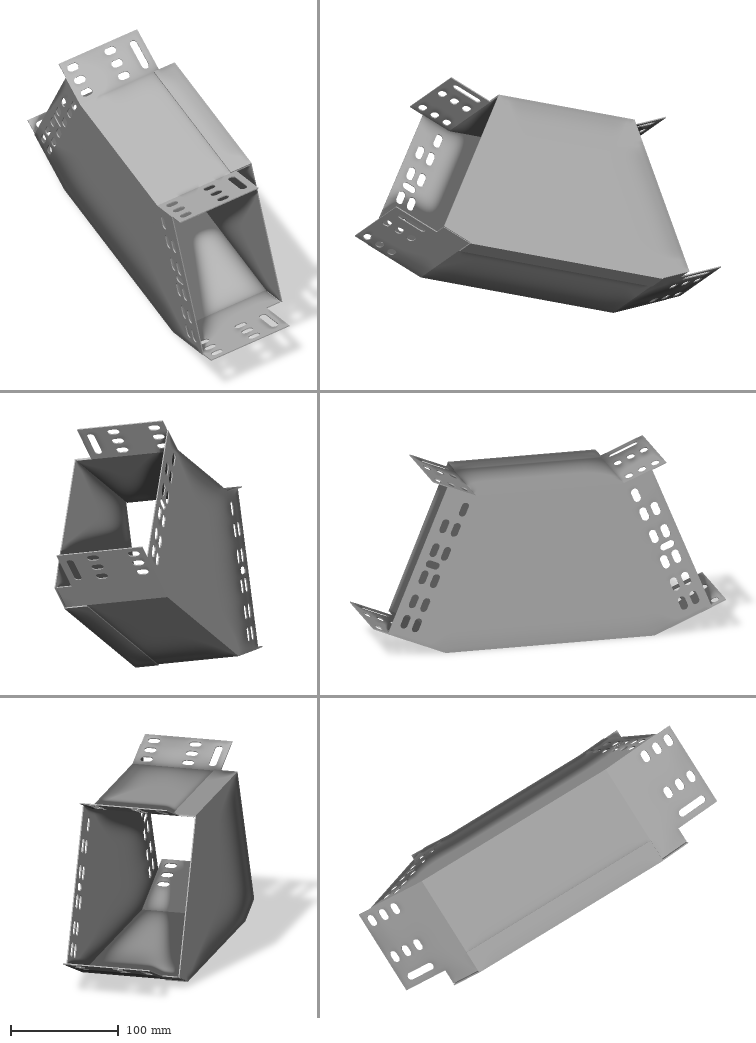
import cadquery as cq
import math


LENGTH = 340.0
DEPTH = 101.5
SHEET = 1.0
BEND_ANGLE = 22.5
TRAY_HEIGHT = 151.5
LOWER_FLANGE = 75.0
UPPER_FLANGE = 44.2
CONNECTOR_LENGTH = 15.0
CONNECTOR_DEPTH = 85.0
CONNECTOR_INSET = 0.7
LID_GAP = 1.0
LID_OVER_FLANGE = 30.0
STEP_FROM_BEND = 29.2
LIP_DEPTH = 22.5

SLOT_WIDTH = 7.0
FLANGE_SLOT_LENGTH = 11.5
FLANGE_SLOT_FROM_TIP = 8.5
FLANGE_SLOT_PITCH = 13.5
FLANGE_SLOT_COUNT = 3
FLANGE_SLOT_ROWS = (11.5, 51.5)
LONG_SLOT_LENGTH = 30.0
LONG_SLOT_FROM_TIP = 23.0
LONG_SLOT_FROM_FRONT = 75.0
PLATE_SLOT_LENGTH = 14.0
OUTER_ROW = 26.5
INNER_ROW = 38.5
CROSS_SLOT_ROW = 30.3
PLATE_SLOT_OFFSETS = (14.0, 38.5, 59.0)

COS = math.cos(math.radians(BEND_ANGLE))
SIN = math.sin(math.radians(BEND_ANGLE))
HALF_LENGTH = LENGTH / 2
FRONT_Y = -DEPTH / 2
LID_Y = DEPTH / 2 - SHEET
WALL_DEPTH = DEPTH - SHEET - LID_GAP
LOWER_Z = 0.0
UPPER_Z = TRAY_HEIGHT
LOWER_BEND_X = HALF_LENGTH - LOWER_FLANGE * COS
LOWER_TIP_Z = LOWER_FLANGE * SIN
UPPER_TIP_Z = UPPER_Z + UPPER_FLANGE * SIN
UPPER_TIP_X = HALF_LENGTH - (UPPER_TIP_Z - LOWER_TIP_Z) * SIN / COS
UPPER_BEND_X = UPPER_TIP_X - UPPER_FLANGE * COS
EDGE_MIDDLE = (UPPER_TIP_Z - LOWER_TIP_Z) / COS / 2
BEND_SETBACK = SHEET * math.tan(math.radians(BEND_ANGLE / 2))


def along_slope(bend_x, bend_z, distance):
    """Point on the outside of the right-hand flange, at a distance from its bend."""
    return (bend_x + distance * COS, bend_z + distance * SIN)


def mirrored(right_points):
    """Closed outline: points of the right half, then their mirror images in reverse."""
    return right_points + [(-x, z) for x, z in reversed(right_points)]


def extruded(points, start_y, depth):
    """Solid with an XZ outline, from start_y toward +Y."""
    return cq.Workplane("XZ", origin=(0, start_y, 0)).polyline(points).close().extrude(-depth)


def bent_strip(bend_x, outer_z, inward, slope_length, depth):
    """Flat wall with both sloping flanges, up to slope_length past its bends."""
    outer_bend = (bend_x, outer_z)
    outer_end = along_slope(*outer_bend, slope_length)
    inner_end = (outer_end[0] - inward * SHEET * SIN, outer_end[1] + inward * SHEET * COS)
    inner_bend = (bend_x - inward * BEND_SETBACK, outer_z + inward * SHEET)
    right_half = [outer_bend, outer_end, inner_end, inner_bend]
    return extruded(mirrored(right_half), FRONT_Y, depth)


def slot_cutter(length, width, centre, slope):
    """Slot through a plate that faces Y, with its length turned from +X by the slope."""
    x, z = centre
    slot = cq.Workplane("XZ", origin=(0, FRONT_Y - SHEET, 0)).slot2D(length, width).extrude(-3 * SHEET)
    return slot.rotate((0, 0, 0), (0, -1, 0), slope).translate((x, 0, z))


def flange_slots(bend_x, bend_z, flange_length):
    """Slots through one right-hand flange."""
    end_x, end_z = along_slope(bend_x, bend_z, flange_length)
    flange_plane = cq.Plane(origin=(end_x, FRONT_Y, end_z), xDir=(-COS, 0, -SIN), normal=(SIN, 0, -COS))
    flange = cq.Workplane(flange_plane)
    places = [
        (FLANGE_SLOT_FROM_TIP + i * FLANGE_SLOT_PITCH, row)
        for i in range(FLANGE_SLOT_COUNT)
        for row in FLANGE_SLOT_ROWS
    ]
    long_place = [(LONG_SLOT_FROM_TIP, LONG_SLOT_FROM_FRONT)]
    slots = flange.pushPoints(places).slot2D(FLANGE_SLOT_LENGTH, SLOT_WIDTH, 90)
    slots = slots.pushPoints(long_place).slot2D(LONG_SLOT_LENGTH, SLOT_WIDTH)
    return slots.extrude(2 * SHEET, both=True)


def flange_trim(bend, start, end, start_y, depth):
    """Block that trims a right-hand flange between two distances from its bend."""
    across_x = 2 * SHEET * SIN
    across_z = 2 * SHEET * COS
    near_x, near_z = along_slope(*bend, start)
    far_x, far_z = along_slope(*bend, end)
    points = [
        (near_x - across_x, near_z + across_z),
        (near_x + across_x, near_z - across_z),
        (far_x + across_x, far_z - across_z),
        (far_x - across_x, far_z + across_z),
    ]
    return extruded(points, start_y, depth)


def connector_trims(bend, step_from_bend, flange_length):
    """Cuts that narrow a right-hand flange: a step on the lid side, an inset tip on the front side."""
    end = flange_length + SHEET
    lid_side = flange_trim(bend, step_from_bend, end, FRONT_Y + CONNECTOR_DEPTH, DEPTH)
    plate_edge = flange_length - CONNECTOR_LENGTH
    front_side = flange_trim(bend, plate_edge, end, FRONT_Y, CONNECTOR_INSET)
    return lid_side.union(front_side)


def plate_slots():
    """Slots along the right-hand end edge of the front plate."""
    def place(row, along):
        x = HALF_LENGTH - row * COS - along * SIN
        z = LOWER_TIP_Z - row * SIN + along * COS
        return (x, z)

    edge_slope = 90 + BEND_ANGLE
    cutters = slot_cutter(PLATE_SLOT_LENGTH, SLOT_WIDTH, place(CROSS_SLOT_ROW, EDGE_MIDDLE), BEND_ANGLE)
    top_offset = max(PLATE_SLOT_OFFSETS)
    for row in (OUTER_ROW, INNER_ROW):
        for offset in PLATE_SLOT_OFFSETS:
            for side in (-1, 1):
                if row == OUTER_ROW and side * offset == top_offset:
                    continue
                centre = place(row, EDGE_MIDDLE + side * offset)
                cutters = cutters.union(slot_cutter(PLATE_SLOT_LENGTH, SLOT_WIDTH, centre, edge_slope))
    return cutters


def on_both_sides(right_body):
    """The right-hand shape together with its mirror image."""
    return right_body.union(right_body.mirror("YZ"))


def make_tray():
    """Front plate with the upper and lower walls and their flanges."""
    lower_wall = bent_strip(LOWER_BEND_X, LOWER_Z, 1, LOWER_FLANGE, WALL_DEPTH)
    upper_wall = bent_strip(UPPER_BEND_X, UPPER_Z, -1, UPPER_FLANGE, WALL_DEPTH)
    plate_outline = [
        (LOWER_BEND_X, LOWER_Z),
        along_slope(LOWER_BEND_X, LOWER_Z, LOWER_FLANGE - CONNECTOR_LENGTH),
        along_slope(UPPER_BEND_X, UPPER_Z, UPPER_FLANGE - CONNECTOR_LENGTH),
        (UPPER_BEND_X, UPPER_Z),
    ]
    plate = extruded(mirrored(plate_outline), FRONT_Y, SHEET)

    trims = connector_trims((LOWER_BEND_X, LOWER_Z), STEP_FROM_BEND, LOWER_FLANGE)
    trims = trims.union(connector_trims((UPPER_BEND_X, UPPER_Z), 0, UPPER_FLANGE))
    slots = plate_slots()
    slots = slots.union(flange_slots(LOWER_BEND_X, LOWER_Z, LOWER_FLANGE))
    slots = slots.union(flange_slots(UPPER_BEND_X, UPPER_Z, UPPER_FLANGE))
    tray = plate.union(lower_wall).union(upper_wall)
    return tray.cut(on_both_sides(trims)).cut(on_both_sides(slots)).solids()


def make_lid():
    """Flat lid with a lip folded over the straight part of each wall."""
    cover_outline = [
        (LOWER_BEND_X, LOWER_Z),
        along_slope(LOWER_BEND_X, LOWER_Z, LID_OVER_FLANGE),
        (UPPER_BEND_X, UPPER_Z),
    ]
    lid = extruded(mirrored(cover_outline), LID_Y, SHEET)
    for half_width, lip_z in ((LOWER_BEND_X, LOWER_Z - SHEET), (UPPER_BEND_X, UPPER_Z)):
        lip = cq.Workplane("XY").box(2 * half_width, LIP_DEPTH, SHEET, centered=(True, False, False))
        lid = lid.union(lip.translate((0, DEPTH / 2 - LIP_DEPTH, lip_z)))
    return lid.solids()


tray = make_tray()
lid = make_lid()
result = cq.Compound.makeCompound([tray.val(), lid.val()])